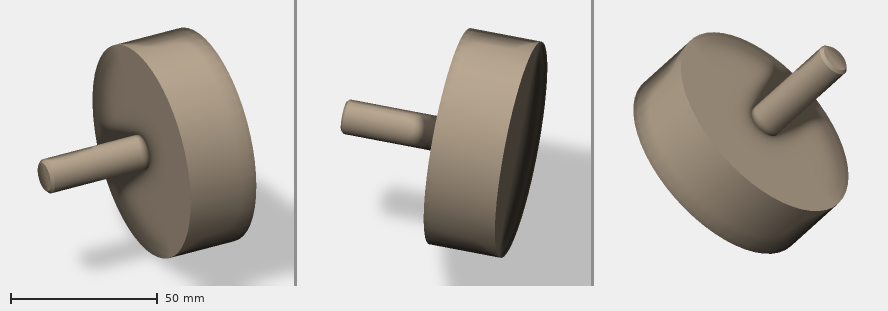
import cadquery as cq

disc_diameter = 75.0
total_length = 62.0
disc_thickness = 25.0
stud_diameter = 12.0
tip_chamfer = 1.0

stud_length = total_length - disc_thickness

mounting_face = cq.Workplane("XZ")
disc = mounting_face.circle(disc_diameter / 2).extrude(-disc_thickness)

stud = (
    mounting_face.circle(stud_diameter / 2)
    .extrude(stud_length)
    .faces("<Y")
    .chamfer(tip_chamfer)
)

result = disc.union(stud)